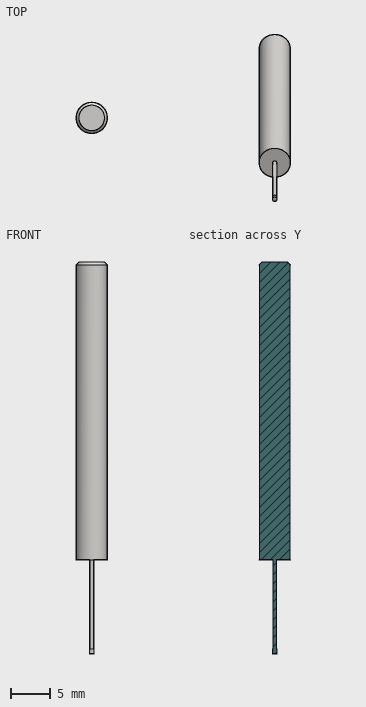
import cadquery as cq

total_length = 50.0
shank_diameter = 4.0
shank_chamfer = 0.375
neck_length = 12.0
neck_diameter = 0.55

tip_diameter = 0.6
tip_length = 0.6
cone_length = 0.05

shank_radius = shank_diameter / 2
neck_radius = neck_diameter / 2
tip_radius = tip_diameter / 2

half_section = (
    cq.Workplane("XZ")
    .moveTo(0, 0)
    .lineTo(tip_radius, 0)
    .lineTo(tip_radius, tip_length)
    .lineTo(neck_radius, tip_length + cone_length)
    .lineTo(neck_radius, neck_length)
    .lineTo(shank_radius, neck_length)
    .lineTo(shank_radius, total_length - shank_chamfer)
    .lineTo(shank_radius - shank_chamfer, total_length)
    .lineTo(0, total_length)
    .close()
)

result = half_section.revolve(360, (0, 0, 0), (0, 1, 0)).translate((0, 0, -total_length / 2))